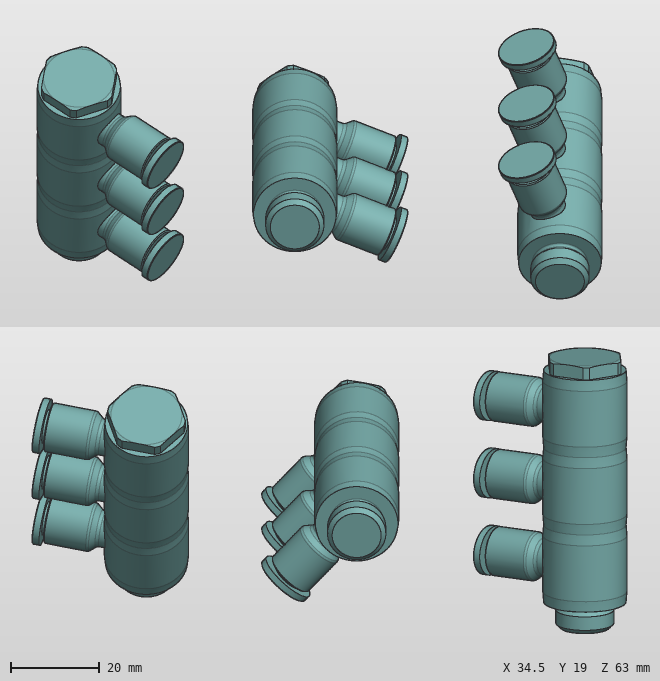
import cadquery as cq
import math


MODULE_COUNT = 3
MODULE_HEIGHT = 18.0
BODY_RADIUS = 9.5
TAPER_HEIGHT = 2.5
TAPER_DEPTH = 0.2
BODY_HEIGHT = MODULE_COUNT * MODULE_HEIGHT

CAP_HEIGHT = 3.0
HEX_ACROSS_FLATS = 16.0
HEX_CORNER_RADIUS = 8.85
CAP_BEVEL_ANGLE = 15.0

STUD_LENGTH = 6.0
STUD_RADIUS = 6.57
STUD_NECK_RADIUS = 5.7
NECK_LENGTH = 0.95
NECK_FILLET = 0.55
STUD_CHAMFER = 1.05

STEM_RADIUS = 4.05
CONE_START = 10.55
CONE_END = 12.4
CONE_START_FILLET = 1.2
CONE_END_FILLET = 0.9
SLEEVE_RADIUS = 5.6
SLEEVE_END = 22.55
SLEEVE_CHAMFER = 0.25

COLLAR_NECK_RADIUS = 3.85
COLLAR_START = 23.3
COLLAR_END = 24.95
COLLAR_HALF_WIDTH = 6.6
COLLAR_HALF_HEIGHT = 5.55
COLLAR_CHAMFER = 0.15


def make_module(base_height):
    """One body module, slightly tapered towards both of its ends."""
    end_radius = BODY_RADIUS - TAPER_DEPTH
    top = base_height + MODULE_HEIGHT
    return (
        cq.Workplane("XZ")
        .moveTo(0, base_height)
        .lineTo(end_radius, base_height)
        .lineTo(BODY_RADIUS, base_height + TAPER_HEIGHT)
        .lineTo(BODY_RADIUS, top - TAPER_HEIGHT)
        .lineTo(end_radius, top)
        .lineTo(0, top)
        .close()
        .revolve(360, (0, 0, 0), (0, 1, 0))
    )


def make_cap():
    """Hexagonal cap with flats facing +Y and -Y, rounded corners and a beveled top."""
    flat_radius = HEX_ACROSS_FLATS / 2
    corner_diameter = HEX_ACROSS_FLATS / math.cos(math.radians(30))
    bevel_height = (HEX_CORNER_RADIUS - flat_radius) * math.tan(math.radians(CAP_BEVEL_ANGLE))
    top = BODY_HEIGHT + CAP_HEIGHT
    hexagon = (
        cq.Workplane("XY")
        .workplane(offset=BODY_HEIGHT)
        .polygon(6, corner_diameter)
        .extrude(CAP_HEIGHT)
    )
    envelope = (
        cq.Workplane("XZ")
        .moveTo(0, BODY_HEIGHT)
        .lineTo(HEX_CORNER_RADIUS, BODY_HEIGHT)
        .lineTo(HEX_CORNER_RADIUS, top - bevel_height)
        .lineTo(flat_radius, top)
        .lineTo(0, top)
        .close()
        .revolve(360, (0, 0, 0), (0, 1, 0))
    )
    return hexagon.intersect(envelope)


def make_stud():
    """Stud with a filleted neck under the body and chamfers at both ends of its thick part."""
    shoulder_depth = NECK_LENGTH + STUD_RADIUS - STUD_NECK_RADIUS
    return (
        cq.Workplane("XZ")
        .lineTo(STUD_NECK_RADIUS + NECK_FILLET, 0)
        .radiusArc((STUD_NECK_RADIUS, -NECK_FILLET), -NECK_FILLET)
        .lineTo(STUD_NECK_RADIUS, -NECK_LENGTH)
        .lineTo(STUD_RADIUS, -shoulder_depth)
        .lineTo(STUD_RADIUS, STUD_CHAMFER - STUD_LENGTH)
        .lineTo(STUD_RADIUS - STUD_CHAMFER, -STUD_LENGTH)
        .lineTo(0, -STUD_LENGTH)
        .close()
        .revolve(360, (0, 0, 0), (0, 1, 0))
    )


def ring_at(distance):
    """Selector for the circular edge of a port at the given distance along X."""
    tolerance = 0.1
    return cq.selectors.BoxSelector(
        (distance - tolerance, -SLEEVE_RADIUS, -SLEEVE_RADIUS),
        (distance + tolerance, SLEEVE_RADIUS, SLEEVE_RADIUS),
    )


def make_sleeve():
    """Port stem, flared cone and sleeve, turned around the X axis."""
    return (
        cq.Workplane("XY")
        .lineTo(0, STEM_RADIUS)
        .lineTo(CONE_START, STEM_RADIUS)
        .lineTo(CONE_END, SLEEVE_RADIUS)
        .lineTo(SLEEVE_END, SLEEVE_RADIUS)
        .lineTo(SLEEVE_END, 0)
        .close()
        .revolve(360, (0, 0, 0), (1, 0, 0))
        .edges(ring_at(CONE_START))
        .fillet(CONE_START_FILLET)
        .edges(ring_at(CONE_END))
        .fillet(CONE_END_FILLET)
        .faces(">X")
        .chamfer(SLEEVE_CHAMFER)
    )


def make_collar():
    """Round neck and oval release collar at the outer end of a port."""
    neck = (
        cq.Workplane("YZ")
        .workplane(offset=SLEEVE_END)
        .circle(COLLAR_NECK_RADIUS)
        .extrude(COLLAR_START - SLEEVE_END)
    )
    disc = (
        cq.Workplane("YZ")
        .workplane(offset=COLLAR_START)
        .ellipse(COLLAR_HALF_WIDTH, COLLAR_HALF_HEIGHT)
        .extrude(COLLAR_END - COLLAR_START)
        .faces(">X")
        .chamfer(COLLAR_CHAMFER)
    )
    return neck.union(disc)


port = make_sleeve().union(make_collar())

result = make_stud()
for index in range(MODULE_COUNT):
    module_base = index * MODULE_HEIGHT
    port_height = module_base + MODULE_HEIGHT / 2
    result = result.union(make_module(module_base))
    result = result.union(port.translate((0, 0, port_height)))
result = result.union(make_cap())